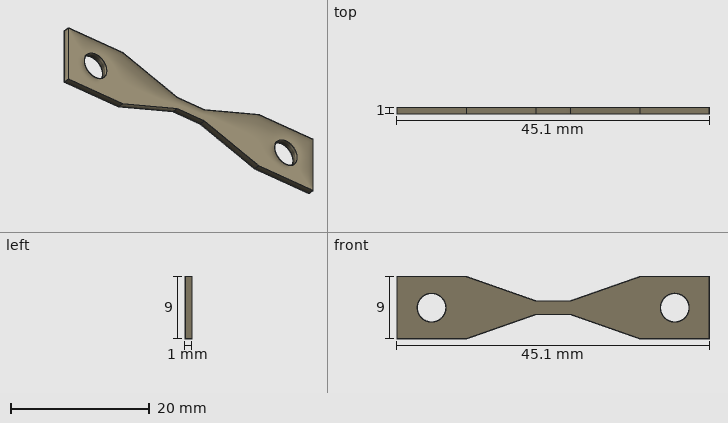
import cadquery as cq

length = 45.1
thickness = 1.0
tab_height = 9.0

neck_length = 5.0
neck_height = 2.0
tab_length = 10.0

hole_diameter = 4.1
hole_offset = length / 2 - tab_length / 2


def strip():
    """Flat strip in the XZ plane, tapering from wide tabs to a narrow neck."""
    end_x = length / 2
    taper_start_x = end_x - tab_length
    neck_x = neck_length / 2
    upper_edge = [
        (-end_x, tab_height / 2),
        (-taper_start_x, tab_height / 2),
        (-neck_x, neck_height / 2),
        (neck_x, neck_height / 2),
        (taper_start_x, tab_height / 2),
        (end_x, tab_height / 2),
    ]
    lower_edge = [(x, -z) for x, z in reversed(upper_edge)]
    outline = cq.Workplane("XZ").polyline(upper_edge + lower_edge).close()
    return outline.extrude(thickness / 2, both=True)


def tab_holes():
    """Cylinders through the thickness of both tabs."""
    centres = [(-hole_offset, 0), (hole_offset, 0)]
    circles = cq.Workplane("XZ").pushPoints(centres).circle(hole_diameter / 2)
    return circles.extrude(thickness, both=True)


result = strip().cut(tab_holes())